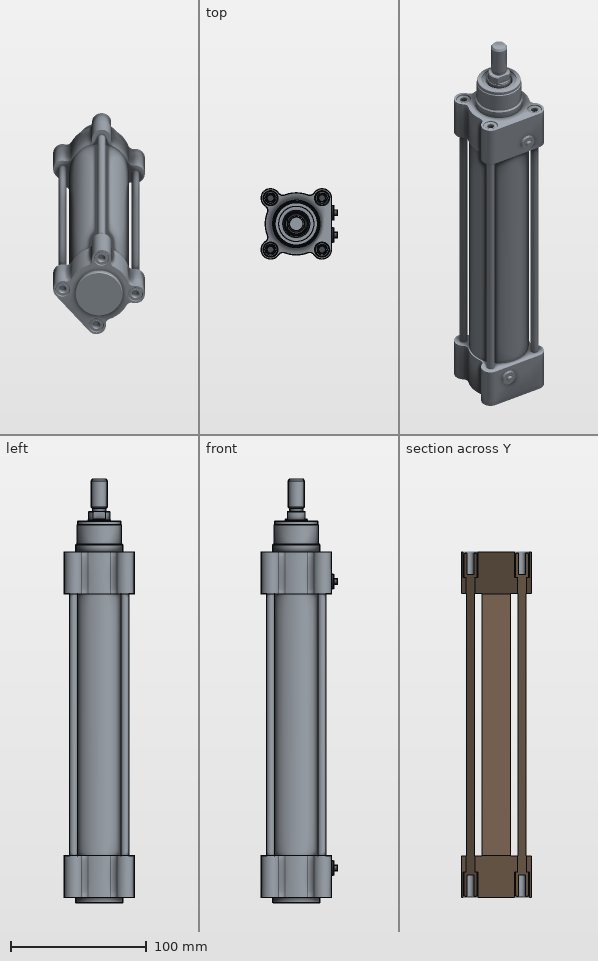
import cadquery as cq
import math


body_length = 255.0
head_length = 31.0
front_face = body_length
barrel_bottom = head_length
barrel_top = body_length - head_length
barrel_diameter = 44.0

head_width = 52.0
tie_rod_offset = 19.0
lobe_radius = head_width / 2 - tie_rod_offset
head_arc_radius = 23.0
valley_radius = 4.0

collar_diameter = 35.0
rear_collar_height = 4.0
rear_collar_chamfer = 0.5
front_collar_height = 6.0
front_collar_chamfer = 0.8
nose_diameter = 33.0
nose_height = 22.8
nose_rim_diameter = 32.0
nose_rim_height = 2.6
nose_rim_chamfer = 0.4
wiper_recess_diameter = 26.0
wiper_recess_depth = 1.0
wiper_funnel_mouth = 20.0
wiper_funnel_throat = 18.0
wiper_funnel_depth = 2.0
wiper_lip_diameter = 16.8
wiper_lip_rise = 0.6

rod_diameter = 16.0
rod_extension = 30.0
rod_end_chamfer = 0.6
flat_width = 13.0
flat_length = 5.8
thread_diameter = 12.0
thread_length = 24.0
tip_chamfer = 1.5
tip_chamfer_width = 1.0
undercut_diameter = 10.0
undercut_length = 2.0
undercut_bevel = 1.0

tie_rod_diameter = 6.0
nut_diameter = 10.0
nut_length = 18.0
nut_recess = 0.5
nut_hub_diameter = 7.8
nut_hub_height = 0.3
nut_seat_diameter = 10.5
nut_seat_mouth = 11.0
mounting_hole_diameter = 5.0
mounting_hole_mouth = 6.0
mounting_hole_depth = 16.0

screw_flange_diameter = 11.0
screw_flange_thickness = 2.0
screw_shoulder_diameter = 10.5
screw_rim_thickness = 1.0
screw_stem_diameter = 4.3
screw_reach = 4.39
screw_offset = 8.2
screw_from_face = 21.8

corners = [(sx * tie_rod_offset, sy * tie_rod_offset) for sx in (-1, 1) for sy in (-1, 1)]


def cylinder(diameter, bottom, top):
    return cq.Workplane("XY").workplane(offset=bottom).circle(diameter / 2).extrude(top - bottom)


def revolved(profile):
    """Turn a (radius, height) outline about the Z axis."""
    return cq.Workplane("XZ").polyline(profile).close().revolve(360, (0, 0, 0), (0, 1, 0))


def polar(radius, degrees):
    angle = math.radians(degrees)
    return (radius * math.cos(angle), radius * math.sin(angle))


def between(start, end, distance):
    """Point at a distance from start on the line towards end."""
    share = distance / math.dist(start, end)
    return (start[0] + share * (end[0] - start[0]), start[1] + share * (end[1] - start[1]))


def head_outline():
    """Head section: each valley arc is tangent to the middle arc and to its lobe."""
    lobe_distance = math.hypot(tie_rod_offset, tie_rod_offset)
    valley_distance = head_arc_radius + valley_radius
    lobe_to_valley = lobe_radius + valley_radius
    squares = valley_distance**2 + lobe_distance**2 - lobe_to_valley**2
    spread = math.degrees(math.acos(squares / (2 * valley_distance * lobe_distance)))

    def valley(lobe_angle, side):
        """Valley arc as its points on the middle arc, at its bottom and on the lobe."""
        lobe_centre = polar(lobe_distance, lobe_angle)
        centre = polar(valley_distance, lobe_angle + side * spread)
        on_arc = polar(head_arc_radius, lobe_angle + side * spread)
        on_lobe = between(centre, lobe_centre, valley_radius)
        chord_middle = ((on_arc[0] + on_lobe[0]) / 2, (on_arc[1] + on_lobe[1]) / 2)
        return on_arc, between(centre, chord_middle, valley_radius), on_lobe

    def lobe_outside(lobe_angle):
        return polar(lobe_distance + lobe_radius, lobe_angle)

    half_width = head_width / 2
    outline = cq.Workplane("XY").moveTo(half_width, -tie_rod_offset)
    outline = outline.lineTo(half_width, tie_rod_offset)
    for lobe_angle in (45, 135, 225):
        leaving = valley(lobe_angle, 1)
        arriving = valley(lobe_angle + 90, -1)
        outline = outline.threePointArc(lobe_outside(lobe_angle), leaving[2])
        outline = outline.threePointArc(leaving[1], leaving[0])
        outline = outline.threePointArc(polar(head_arc_radius, lobe_angle + 45), arriving[0])
        outline = outline.threePointArc(arriving[1], arriving[2])
    return outline.threePointArc(lobe_outside(315), (half_width, -tie_rod_offset)).close()


def nut_seats():
    """Cutters for the tie rod and nut in a head whose mounting face is at Z = 0."""
    mouth_depth = (nut_seat_mouth - nut_seat_diameter) / 2
    nut_end = nut_recess + nut_length
    seat = revolved([
        (0, 0),
        (nut_seat_mouth / 2, 0),
        (nut_seat_diameter / 2, mouth_depth),
        (nut_seat_diameter / 2, nut_end),
        (tie_rod_diameter / 2, nut_end),
        (tie_rod_diameter / 2, head_length),
        (0, head_length),
    ])
    return [seat.translate((x, y, 0)) for x, y in corners]


def cushion_screw():
    """Stepped flange and stem standing on the +X face."""
    face = cq.Workplane("YZ").workplane(offset=head_width / 2).center(-screw_offset, screw_from_face)
    rim = face.circle(screw_flange_diameter / 2).extrude(screw_rim_thickness)
    flange = rim.union(face.circle(screw_shoulder_diameter / 2).extrude(screw_flange_thickness))
    return flange.union(face.circle(screw_stem_diameter / 2).extrude(screw_reach))


def plain_head():
    """Head with its mounting face at Z = 0 and the barrel side at the top."""
    head = head_outline().extrude(head_length)
    for seat in nut_seats():
        head = head.cut(seat)
    return head.union(cushion_screw())


def make_rear_head():
    collar = cylinder(collar_diameter, -rear_collar_height, 0).faces("<Z").chamfer(rear_collar_chamfer)
    return plain_head().union(collar)


def make_front_head():
    collar_radius = collar_diameter / 2
    nose_radius = nose_diameter / 2
    rim_radius = nose_rim_diameter / 2
    rim_bottom = nose_height - nose_rim_height
    recess_floor = nose_height - wiper_recess_depth
    funnel_bottom = recess_floor - wiper_funnel_depth
    lip_top = nose_height + wiper_lip_rise
    nose = revolved([
        (0, 0),
        (collar_radius, 0),
        (collar_radius, front_collar_height - front_collar_chamfer),
        (collar_radius - front_collar_chamfer, front_collar_height),
        (nose_radius, front_collar_height),
        (nose_radius, rim_bottom - (nose_radius - rim_radius)),
        (rim_radius, rim_bottom),
        (rim_radius, nose_height - nose_rim_chamfer),
        (rim_radius - nose_rim_chamfer, nose_height),
        (wiper_recess_diameter / 2, nose_height),
        (wiper_recess_diameter / 2, recess_floor),
        (wiper_funnel_mouth / 2, recess_floor),
        (wiper_funnel_throat / 2, funnel_bottom),
        (wiper_lip_diameter / 2, funnel_bottom),
        (wiper_lip_diameter / 2, lip_top),
        (0, lip_top),
    ])
    head = plain_head().rotate((0, 0, 0), (1, 0, 0), 180).union(nose)
    rod_bore = cylinder(rod_diameter, -head_length, lip_top)
    return head.cut(rod_bore).translate((0, 0, front_face))


def make_piston_rod():
    shoulder = front_face + rod_extension
    tip = shoulder + thread_length
    rod_radius = rod_diameter / 2
    thread_radius = thread_diameter / 2
    undercut_radius = undercut_diameter / 2
    undercut_top = shoulder + undercut_length
    rod = revolved([
        (0, barrel_top),
        (rod_radius, barrel_top),
        (rod_radius, shoulder - rod_end_chamfer),
        (rod_radius - rod_end_chamfer, shoulder),
        (undercut_radius, shoulder),
        (undercut_radius, undercut_top),
        (thread_radius, undercut_top + undercut_bevel),
        (thread_radius, tip - tip_chamfer),
        (thread_radius - tip_chamfer_width, tip),
        (0, tip),
    ])
    flat_depth = (rod_diameter - flat_width) / 2
    for side in (-1, 1):
        flat_cut = cq.Workplane("XY").box(flat_depth, rod_diameter, flat_length)
        flat_middle = shoulder - flat_length / 2
        rod = rod.cut(flat_cut.translate((side * (flat_width + flat_depth) / 2, 0, flat_middle)))
    return rod


def make_tie_rod(x, y):
    """Rod with a nut at each end; the lower half is turned and then mirrored."""
    middle = body_length / 2
    hub_face = nut_recess
    shelf = nut_recess + nut_hub_height
    mouth_depth = (mounting_hole_mouth - mounting_hole_diameter) / 2
    nut_end = nut_recess + nut_length
    half = revolved([
        (0, hub_face + mounting_hole_depth),
        (mounting_hole_diameter / 2, hub_face + mounting_hole_depth),
        (mounting_hole_diameter / 2, hub_face + mouth_depth),
        (mounting_hole_mouth / 2, hub_face),
        (nut_hub_diameter / 2, hub_face),
        (nut_hub_diameter / 2, shelf),
        (nut_diameter / 2, shelf),
        (nut_diameter / 2, nut_end),
        (tie_rod_diameter / 2, nut_end),
        (tie_rod_diameter / 2, middle),
        (0, middle),
    ])
    other_half = half.mirror("XY", (0, 0, middle))
    return half.union(other_half).translate((x, y, 0))


barrel = cylinder(barrel_diameter, barrel_bottom, barrel_top)
rear_head = make_rear_head()
front_head = make_front_head()
piston_rod = make_piston_rod()
tie_rods = [make_tie_rod(x, y) for x, y in corners]

result = cq.Compound.makeCompound([
    barrel.val(),
    rear_head.val(),
    front_head.val(),
    piston_rod.val(),
    *[tie_rod.val() for tie_rod in tie_rods],
])